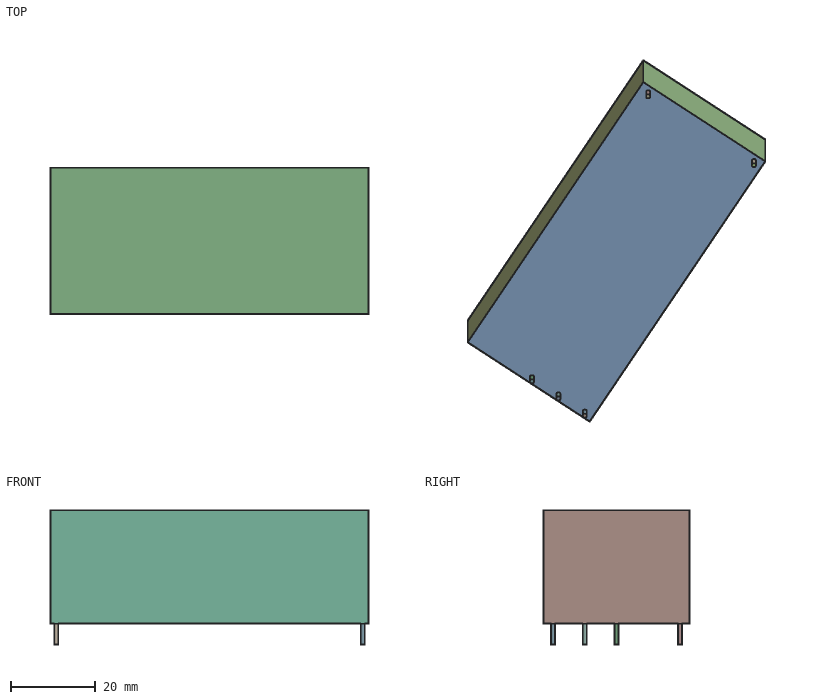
import cadquery as cq

housing_length = 75.2
housing_width = 34.6
overall_height = 31.8

pin_diameter = 1.0
pin_length = 5.0
pin_row_spacing = 72.4
pin_pitch = 7.5

housing_height = overall_height - pin_length

left_row_steps = [-2, 2]
right_row_steps = [-2, -1, 0]


def make_housing():
    return cq.Workplane("XY").box(
        housing_length, housing_width, housing_height, centered=(True, True, False)
    )


def make_pin(x, y):
    """A pin that runs down from the underside of the housing."""
    return cq.Workplane("XY").center(x, y).circle(pin_diameter / 2).extrude(-pin_length)


def make_pin_row(x, steps):
    """One pin for each listed step of the pitch along Y."""
    return [make_pin(x, step * pin_pitch) for step in steps]


housing = make_housing()
left_pins = make_pin_row(-pin_row_spacing / 2, left_row_steps)
right_pins = make_pin_row(pin_row_spacing / 2, right_row_steps)
pins = left_pins + right_pins

result = cq.Compound.makeCompound([housing.val(), *[pin.val() for pin in pins]])